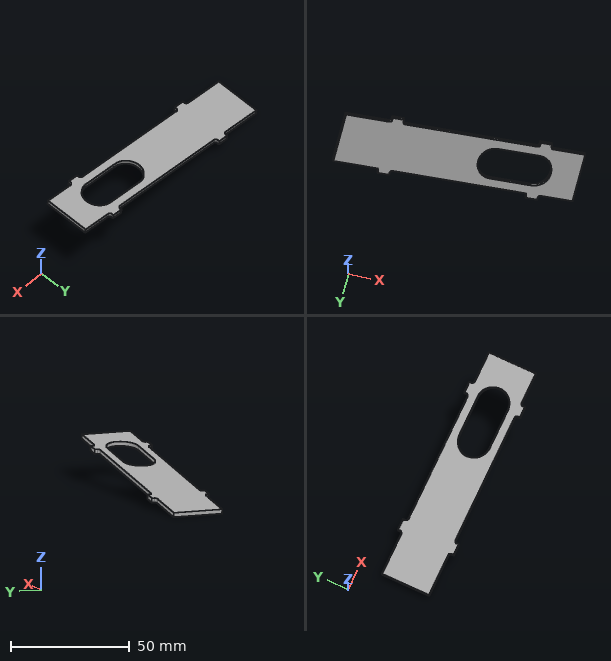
import cadquery as cq

plate_length = 105.0
plate_width = 22.0
plate_thickness = 2.0
tilt_angle = 8.68

overall_width = 26.0
tab_length = 5.0
tab_starts = (20.0, 85.0)
tab_root_radius = 1.0

slot_length = 32.0
slot_width = 14.0
slot_center = 76.75


def bar(start, length, width):
    """Block of plate thickness, centred across the plate, starting at a distance from the low end."""
    block = cq.Workplane("XY").box(length, width, plate_thickness, centered=(False, True, False))
    return block.translate((start, 0, 0))


def add_tabs(body):
    for start in tab_starts:
        body = body.union(bar(start, tab_length, overall_width))
    return body


def round_tab_roots(body):
    """Fillet the inside corners between the tabs and the long edges of the plate."""
    first_start = tab_starts[0]
    last_end = tab_starts[-1] + tab_length
    root_zone = cq.selectors.BoxSelector(
        (first_start - tab_root_radius, -plate_width / 2 - tab_root_radius, 0),
        (last_end + tab_root_radius, plate_width / 2 + tab_root_radius, plate_thickness),
    )
    return body.edges("|Z").edges(root_zone).fillet(tab_root_radius)


def cut_slot(body):
    slot = (
        cq.Workplane("XY")
        .center(slot_center, 0)
        .slot2D(slot_length, slot_width)
        .extrude(plate_thickness)
    )
    return body.cut(slot)


plate = bar(0, plate_length, plate_width)
plate = add_tabs(plate)
plate = round_tab_roots(plate)
plate = cut_slot(plate)

result = plate.rotate((0, 0, 0), (0, 1, 0), -tilt_angle)